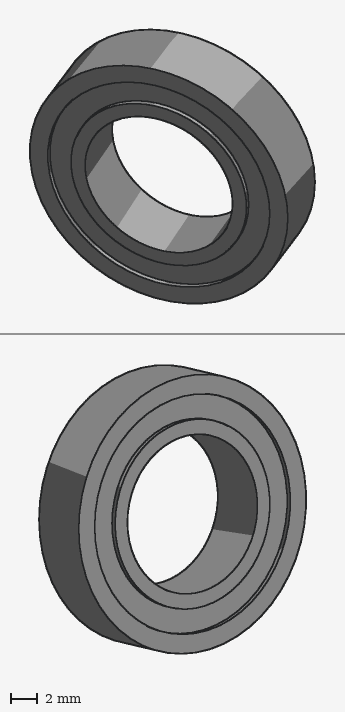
import cadquery as cq

outer_diameter = 21.0
width = 5.0
bore_diameter = 12.0
recess_outer_diameter = 18.05
recess_inner_diameter = 14.28
recess_depth = 0.4


def ring(outer, inner, start_y, length):
    """Ring around the Y axis, running from start_y towards +Y."""
    plane = cq.Workplane("XZ", origin=(0, start_y, 0))
    return plane.circle(outer / 2).circle(inner / 2).extrude(-length)


front_y = -width / 2
back_recess_y = width / 2 - recess_depth

result = ring(outer_diameter, bore_diameter, front_y, width)
for recess_y in (front_y, back_recess_y):
    result = result.cut(ring(recess_outer_diameter, recess_inner_diameter, recess_y, recess_depth))